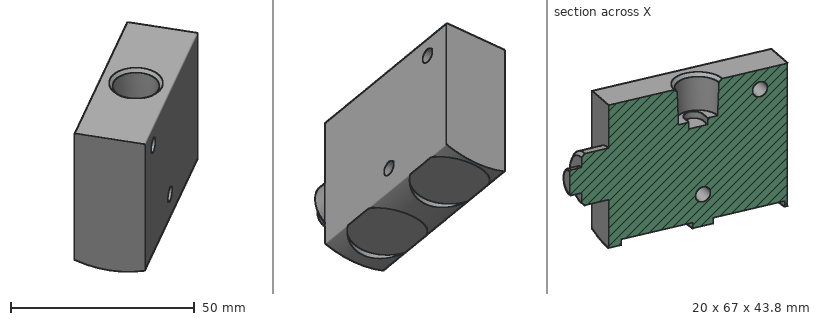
import cadquery as cq

width = 20.0
block_length = 55.0
height = 43.75
crown_height = 1.75
edge_radius = 0.5

overall_length = 67.0
collar_diameter = 15.95
collar_length = 8.3
collar_chamfer = 1.0
pin_diameter = 8.0
pin_length = overall_length - block_length - collar_length
pin_chamfer = 0.4
plunger_below_top = 21.05

port_mouth_diameter = 14.7
port_top_diameter = 12.7
port_floor_diameter = 11.9
port_chamfer_depth = (port_mouth_diameter - port_top_diameter) / 2
port_depth = 11.0
slot_length = 10.8
slot_width = 5.7
slot_depth = 2.0

mounting_hole_diameter = 4.4
mounting_holes = [(8.5, 6.0), (26.0, 34.05)]

seat_diameter = 21.85
seat_middle = 26.0
seat_spacing = 28.3


def make_block():
    """Extruded section with an arched underside and rounded long edges."""
    section = (
        cq.Workplane("XZ")
        .moveTo(-width / 2, crown_height)
        .threePointArc((0, 0), (width / 2, crown_height))
        .lineTo(width / 2, height)
        .lineTo(-width / 2, height)
        .close()
    )
    block = section.extrude(-block_length)
    return block.faces("<X or >X").edges("|Y").fillet(edge_radius)


def make_plunger():
    """Stepped collar and pin pointing along +Y."""
    back_plane = cq.Plane(
        origin=(0, block_length, height - plunger_below_top), xDir=(1, 0, 0), normal=(0, 1, 0)
    )
    collar = cq.Workplane(back_plane).circle(collar_diameter / 2).extrude(collar_length)
    collar = collar.faces(">Y").chamfer(collar_chamfer)
    pin = cq.Workplane(back_plane).circle(pin_diameter / 2).extrude(collar_length + pin_length)
    pin = pin.faces(">Y").chamfer(pin_chamfer)
    return collar.union(pin)


def make_port():
    """Countersunk, tapered bore with a slot-shaped recess in its floor."""
    port_y = block_length / 2
    bore = (
        cq.Workplane("XZ")
        .polyline([
            (0, height),
            (port_mouth_diameter / 2, height),
            (port_top_diameter / 2, height - port_chamfer_depth),
            (port_floor_diameter / 2, height - port_depth),
            (0, height - port_depth),
        ])
        .close()
        .revolve(360, (0, 0), (0, 1))
        .translate((0, port_y, 0))
    )
    recess = (
        cq.Workplane("XY", origin=(0, port_y, height - port_depth))
        .slot2D(slot_length, slot_width)
        .extrude(-slot_depth)
    )
    return bore.union(recess)


def make_mounting_holes():
    """Plain holes right through the width."""
    centres = [(y, height - below_top) for y, below_top in mounting_holes]
    return (
        cq.Workplane("YZ", origin=(-width / 2, 0, 0))
        .pushPoints(centres)
        .circle(mounting_hole_diameter / 2)
        .extrude(width)
    )


def make_seats():
    """Discs that flatten the crown at two places along the underside."""
    centres = [(0, seat_middle + side * seat_spacing / 2) for side in (-1, 1)]
    return cq.Workplane("XY").pushPoints(centres).circle(seat_diameter / 2).extrude(crown_height)


result = (
    make_block()
    .union(make_plunger())
    .cut(make_port())
    .cut(make_mounting_holes())
    .cut(make_seats())
)